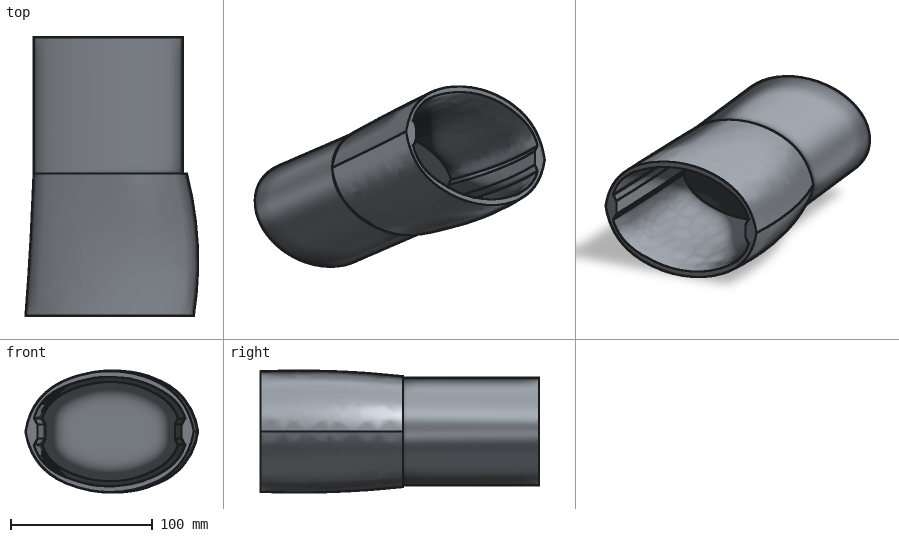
import cadquery as cq
import math


TOTAL_LENGTH = 196.52
SLEEVE_LENGTH = 100.4
NECK_LENGTH = TOTAL_LENGTH - SLEEVE_LENGTH

NECK_WIDTH = 105.2
NECK_HEIGHT = 76.0

STATIONS = [
    (0.0, -52.7, 55.4, 39.1),
    (-0.62 * SLEEVE_LENGTH, -55.75, 63.43, 43.0),
    (-SLEEVE_LENGTH, -58.42, 60.3, 42.6),
]
SIDE_WALL = 4.5
CROWN_WALL = 4.1

LEFT_SEAM = -0.37
RIGHT_SEAM = 0.55

OUTER_TIP_SLOPE = 6.0
INNER_TIP_SLOPE = 20.0

RIB_DEPTH = 8.5
RIB_FLAT_HEIGHT = 10.0
RIB_ROOT_HEIGHT = 18.5
RIB_ROOT_DEPTH = 6.3
RIB_EMBED_DEPTH = 3.5


def section_wire(y, left, right, half_height, tip_slope):
    """Oval outline in the plane at y: elliptical crowns joined to the tips by flanks."""
    center = (left + right) / 2
    half_width = (right - left) / 2

    def crown_point(fraction, side):
        height = half_height * math.sqrt(1 - fraction ** 2)
        return cq.Vector(center + half_width * fraction, y, side * height)

    def crown_tangent(fraction, side):
        """Unit tangent pointing toward +X."""
        rise = -half_height * fraction / math.sqrt(1 - fraction ** 2)
        return cq.Vector(half_width, 0, side * rise).normalized()

    def crown(side):
        points = [crown_point(f, side) for f in (LEFT_SEAM, 0, RIGHT_SEAM)]
        tangents = [crown_tangent(f, side) for f in (LEFT_SEAM, RIGHT_SEAM)]
        return cq.Edge.makeSpline(points, tangents=tangents)

    def left_flank(side):
        tip_tangent = cq.Vector(1, 0, side * tip_slope).normalized()
        points = [cq.Vector(left, y, 0), crown_point(LEFT_SEAM, side)]
        return cq.Edge.makeSpline(points, tangents=[tip_tangent, crown_tangent(LEFT_SEAM, side)])

    def right_flank(side):
        tip_tangent = cq.Vector(1, 0, -side * tip_slope).normalized()
        points = [crown_point(RIGHT_SEAM, side), cq.Vector(right, y, 0)]
        return cq.Edge.makeSpline(points, tangents=[crown_tangent(RIGHT_SEAM, side), tip_tangent])

    edges = [left_flank(1), crown(1), right_flank(1), right_flank(-1), crown(-1), left_flank(-1)]
    return cq.Wire.assembleEdges(edges)


def outer_body():
    wires = [section_wire(*station, OUTER_TIP_SLOPE) for station in STATIONS]
    return cq.Workplane(cq.Solid.makeLoft(wires))


def cavity():
    wires = []
    for y, left, right, half_height in STATIONS:
        inner = (y, left + SIDE_WALL, right - SIDE_WALL, half_height - CROWN_WALL)
        wires.append(section_wire(*inner, INNER_TIP_SLOPE))
    return cq.Workplane(cq.Solid.makeLoft(wires))


def rib(inward):
    """Tapered rib following one tip line; inward is +1 at the left tip, -1 at the right."""
    wires = []
    for y, left, right, _ in STATIONS:
        tip = left if inward > 0 else right
        profile = [
            (RIB_EMBED_DEPTH, RIB_ROOT_HEIGHT / 2),
            (RIB_ROOT_DEPTH, RIB_ROOT_HEIGHT / 2),
            (RIB_DEPTH, RIB_FLAT_HEIGHT / 2),
            (RIB_DEPTH, -RIB_FLAT_HEIGHT / 2),
            (RIB_ROOT_DEPTH, -RIB_ROOT_HEIGHT / 2),
            (RIB_EMBED_DEPTH, -RIB_ROOT_HEIGHT / 2),
        ]
        points = [cq.Vector(tip + inward * depth, y, z) for depth, z in profile]
        wires.append(cq.Wire.makePolygon(points, close=True))
    return cq.Workplane(cq.Solid.makeLoft(wires))


def neck():
    return cq.Workplane("XZ").ellipse(NECK_WIDTH / 2, NECK_HEIGHT / 2).extrude(-NECK_LENGTH)


open_cavity = cavity().cut(rib(1)).cut(rib(-1))
sleeve = outer_body().cut(open_cavity)
result = sleeve.union(neck())